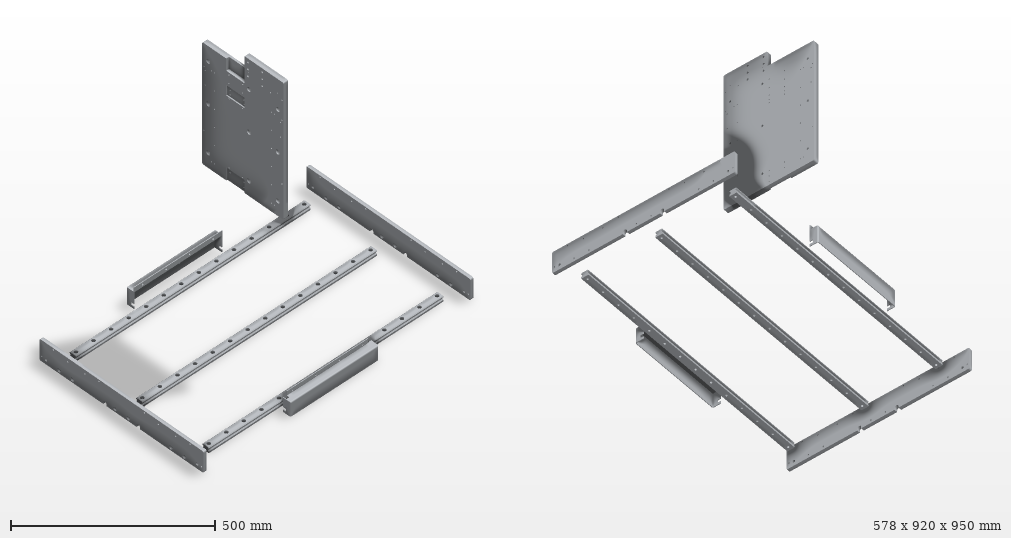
import cadquery as cq
overall_width = 578.0
overall_depth = 920.0
overall_height = 950.0

end_plate_height = 70.0
end_plate_thickness = 10.0
end_plate_corner = 5.0
end_hole = 5.0
end_hole_points = ((80.0, 65.0), (240.0, 65.0), (129.0, 58.0), (190.0, 58.0), (281.0, 17.0))
side_bolt_hole = 9.0
side_bolt_x = 266.0
side_bolt_z = 15.0
rail_bolt_x = (-197.0, 0, 197.0)
rail_bolt_spacing = 47.0
rail_bolt_z = 9.5
rail_bolt_hole = 6.0
rail_bolt_counterbore = 11.0
rail_bolt_counterbore_depth = 6.0
notch_x = 59.0
notch_width = 12.0
notch_height = 11.0

rail_length = 800.0
rail_width = 23.0
rail_height = 18.0
rail_spacing = 234.0
rail_hole_count = 14
rail_hole_pitch = 60.0
rail_hole = 7.0
rail_counterbore = 11.0
rail_counterbore_depth = 9.0
rail_chamfer = 2.0
rail_groove_bottom = 6.0
rail_groove_top = 14.0
rail_groove_depth = 4.0
rail_groove_slope = 2.0

bracket_length = 301.0
bracket_width = 27.0
bracket_y = -13.0
bracket_sheet = 2.0
bracket_bend = 4.0
left_shelf_z = 56.0
right_shelf_z = 47.5
right_flange_inset = 11.0
flange_rise = 14.0
flange_hole = 6.0
flange_hole_rise = 6.0
flange_hole_count = 4
flange_hole_pitch = 80.0
cap_slot_bottom = 8.0
cap_slot_height = 9.0
cap_slot_depth = 10.0
shelf_relief_depth = 10.0

plate_left = -128.0
plate_right = 158.0
plate_front = -61.0
plate_thickness = 16.0
plate_bottom = 500.0
shoulder_x = 21.0
shoulder_z = 901.0
plate_corner = 4.0
pocket_left = -44.0
shallow_pocket = 4.0
deep_pocket = 9.5
pockets = (
    (plate_bottom, 542.0, shallow_pocket),
    (779.0, 813.0, shallow_pocket),
    (861.0, shoulder_z, deep_pocket),
)
plate_bolt_x = (-107.0, 36.0, 138.0)
plate_bolt_z = (549.0, 710.0, 850.0)
plate_bolt_hole = 8.0
plate_counterbore = 14.0
plate_counterbore_depth = 9.0
mount_hole = 7.0
mount_x = (32.0, 83.0)
mount_z = (892.0, 915.0, 938.0)
column_x = (-85.0, 115.0)
column_bottom_z = 528.0
column_pitch = 60.0
column_count = 6
column_pair_step = 10.0
small_hole = 4.0
edge_hole_x = (-123.0, 152.0)
edge_hole_z = (615.0, 825.0)
dowel_x = (-118.0, 147.0)
dowel_z = (766.0, 814.0)
pocket_screw_x = (-34.0, 14.0)
pocket_screw_z = (529.0, 547.0, 774.0, 786.0, 800.0, 825.0, 853.0)
single_hole_points = ((112.0, 889.0), (152.0, 890.0), (14.0, 511.0))
pin_hole = 3.0
pin_points = ((34.0, 904.0), (138.0, 904.0))


def grid(xs, zs):
    """All (x, z) points of a grid."""
    return [(x, z) for x in xs for z in zs]


def hole_cutters(points, diameter, front, depth):
    """Round cutters at (x, z) points, running from y = front toward +Y."""
    plane = cq.Workplane("XZ", origin=(0, front, 0))
    return plane.pushPoints(points).circle(diameter / 2).extrude(-depth)


def bottom_notch(x, front):
    """Cutter for a round-topped notch in the lower edge of an end plate."""
    radius = notch_width / 2
    spring_z = notch_height - radius
    return (
        cq.Workplane("XZ", origin=(x, front, 0))
        .moveTo(-radius, 0)
        .lineTo(-radius, spring_z)
        .threePointArc((0, notch_height), (radius, spring_z))
        .lineTo(radius, 0)
        .close()
        .extrude(-end_plate_thickness)
    )


def end_plate(front):
    """Long plate across one end of the frame, with its -Y face at y = front."""
    plate = (
        cq.Workplane("XY", origin=(0, front, 0))
        .box(overall_width, end_plate_thickness, end_plate_height, centered=(True, False, False))
        .edges("|Y")
        .fillet(end_plate_corner)
    )
    small = [(side * x, z) for x, z in end_hole_points for side in (-1, 1)]
    side_bolts = [(side * side_bolt_x, side_bolt_z) for side in (-1, 1)]
    rail_bolts = [
        (x + side * rail_bolt_spacing / 2, rail_bolt_z) for x in rail_bolt_x for side in (-1, 1)
    ]
    plate = plate.cut(hole_cutters(small, end_hole, front, end_plate_thickness))
    plate = plate.cut(hole_cutters(side_bolts, side_bolt_hole, front, end_plate_thickness))
    plate = plate.cut(hole_cutters(rail_bolts, rail_bolt_hole, front, end_plate_thickness))
    plate = plate.cut(
        hole_cutters(rail_bolts, rail_bolt_counterbore, front, rail_bolt_counterbore_depth)
    )
    for x in (-notch_x, notch_x):
        plate = plate.cut(bottom_notch(x, front))
    return plate


def guide_rail(x):
    """Rail along Y with a groove in each side and a row of counterbored holes."""
    half_width = rail_width / 2
    waist = half_width - rail_groove_depth
    right_side = [
        (half_width, 0),
        (half_width, rail_groove_bottom),
        (waist, rail_groove_bottom + rail_groove_slope),
        (waist, rail_groove_top - rail_groove_slope),
        (half_width, rail_groove_top),
        (half_width, rail_height - rail_chamfer),
        (half_width - rail_chamfer, rail_height),
    ]
    left_side = [(-across, z) for across, z in reversed(right_side)]
    rail = (
        cq.Workplane("XZ")
        .polyline(right_side + left_side)
        .close()
        .extrude(rail_length / 2, both=True)
        .faces(">Z")
        .workplane(origin=(0, 0, rail_height))
        .rarray(9.5, rail_hole_pitch, 1, rail_hole_count)
        .cboreHole(rail_hole, rail_counterbore, rail_counterbore_depth)
    )
    return rail.translate((x, 0, 0))


def side_bracket(shelf_z, flange_inset):
    """Left-hand bracket: outer wall at x = 0, shelf toward +X, flange standing on the shelf's edge."""
    free_edge = [False, True, False]
    inner_length = bracket_length - 2 * bracket_sheet
    shelf_underside = shelf_z - bracket_sheet

    body = (
        cq.Workplane("XY")
        .box(bracket_width, bracket_length, shelf_z, centered=free_edge)
        .edges("(|Y and >Z and <X) or (|Z and <X)")
        .fillet(bracket_bend)
    )
    hollow = cq.Workplane("XY", origin=(bracket_sheet, 0, 0)).box(
        bracket_width, inner_length, shelf_underside, centered=free_edge
    )
    flange = cq.Workplane("XY", origin=(bracket_width - bracket_sheet, 0, shelf_underside)).box(
        bracket_sheet,
        bracket_length - 2 * flange_inset,
        flange_rise + bracket_sheet,
        centered=free_edge,
    )
    flange_holes = (
        cq.Workplane("YZ", origin=(0, 0, shelf_z + flange_hole_rise))
        .rarray(flange_hole_pitch, 9.5, flange_hole_count, 1)
        .circle(flange_hole / 2)
        .extrude(bracket_width)
    )
    cap_slots = cq.Workplane("XY", origin=(bracket_width - cap_slot_depth, 0, cap_slot_bottom)).box(
        cap_slot_depth, bracket_length, cap_slot_height, centered=free_edge
    )
    return body.cut(hollow).union(flange).cut(flange_holes).cut(cap_slots)


def left_bracket():
    return side_bracket(left_shelf_z, 0).translate((-overall_width / 2, bracket_y, 0))


def right_bracket():
    """Mirrored, lower bracket with a shorter flange and a relief in the shelf at its -Y end."""
    relief = cq.Workplane(
        "XY",
        origin=(
            bracket_width - shelf_relief_depth,
            bracket_sheet - bracket_length / 2,
            right_shelf_z - bracket_sheet,
        ),
    ).box(shelf_relief_depth, right_flange_inset - bracket_sheet, bracket_sheet, centered=False)
    bracket = side_bracket(right_shelf_z, right_flange_inset).cut(relief)
    return bracket.mirror("YZ").translate((overall_width / 2, bracket_y, 0))


def small_hole_points():
    """Places of the small through holes in the upright plate."""
    column_z = [column_bottom_z + i * column_pitch for i in range(column_count)]
    pair_x = (column_x[0] - column_pair_step, column_x[1] + column_pair_step)
    points = grid(column_x, column_z)
    points += grid(pair_x, (column_z[0], column_z[-1]))
    points += grid(edge_hole_x, edge_hole_z)
    points += grid(dowel_x, dowel_z)
    points += grid(pocket_screw_x, pocket_screw_z)
    points += single_hole_points
    return points


def upright_plate():
    """Stepped plate standing above the frame, with three pockets in its -Y face."""
    outline = [
        (plate_left, plate_bottom),
        (plate_right, plate_bottom),
        (plate_right, overall_height),
        (shoulder_x, overall_height),
        (shoulder_x, shoulder_z),
        (plate_left, shoulder_z),
    ]
    plate = (
        cq.Workplane("XZ", origin=(0, plate_front, 0))
        .polyline(outline)
        .close()
        .extrude(-plate_thickness)
        .edges("|Y and (<X or >X)")
        .fillet(plate_corner)
    )
    for bottom, top, depth in pockets:
        pocket = cq.Workplane("XY", origin=(pocket_left, plate_front, bottom)).box(
            shoulder_x - pocket_left, depth, top - bottom, centered=False
        )
        plate = plate.cut(pocket)

    bolts = grid(plate_bolt_x, plate_bolt_z)
    mounts = grid(mount_x, mount_z)
    plate = plate.cut(hole_cutters(bolts, plate_bolt_hole, plate_front, plate_thickness))
    plate = plate.cut(hole_cutters(bolts, plate_counterbore, plate_front, plate_counterbore_depth))
    plate = plate.cut(hole_cutters(mounts, mount_hole, plate_front, plate_thickness))
    plate = plate.cut(hole_cutters(small_hole_points(), small_hole, plate_front, plate_thickness))
    plate = plate.cut(hole_cutters(pin_points, pin_hole, plate_front, plate_thickness))
    return plate


end_plate_fronts = (-overall_depth / 2, overall_depth / 2 - end_plate_thickness)
end_plates = [end_plate(front) for front in end_plate_fronts]
rails = [guide_rail(x) for x in (-rail_spacing, 0, rail_spacing)]
brackets = [left_bracket(), right_bracket()]
bodies = [*end_plates, *rails, *brackets, upright_plate()]

result = cq.Compound.makeCompound([body.val() for body in bodies])